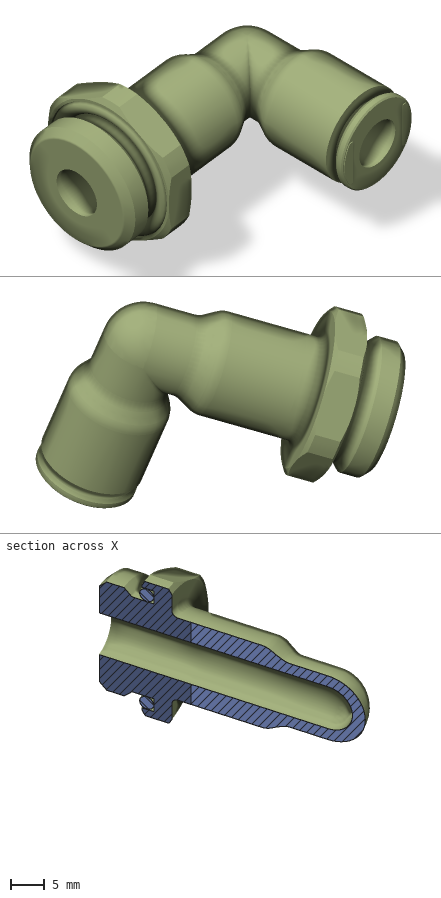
import cadquery as cq
import math


BEND_RADIUS = 6.2
SLEEVE_RADIUS = 8.0
BORE_RADIUS = 4.0
LEG_LENGTH = 22.7
CONE_ANGLE = math.radians(29)
CONE_BLEND_RADIUS = 3.2

RING_NECK_RADIUS = 5.8
RING_NECK_BLEND = 0.28
RING_FLANGE_START = 24.05
RING_FLANGE_END = 25.75
RING_FLANGE_RADIUS = 7.85
RING_BEVEL_LENGTH = 0.65
RING_BEVEL_DEPTH = 0.35
RING_BEVEL_EDGE = 0.15
RING_FRONT_CHAMFER = 0.25
PAD_HEIGHT = 0.15
PAD_WIDTH = 8.0
PAD_INNER_DISTANCE = 5.6
PAD_OUTER_RADIUS = 7.45

HEX_START = 25.8
HEX_END = 30.85
HEX_ACROSS_FLATS = 24.03
HEX_TURNED_DIAMETER = 26.0
HEX_CORNER_RADIUS = HEX_TURNED_DIAMETER / 2
HEX_FACE_RADIUS = 12.05
HEX_CHAMFER_LENGTH = 0.55
HEX_NECK_FILLET = 1.0
UNDERCUT_RADIUS = 9.2
THREAD_RADIUS = 10.5
THREAD_START = 33.75
THREAD_END = 36.65
STUD_END = 37.85
THREAD_EDGE_ROUND = 0.4

O_RING_WIRE_RADIUS = 1.2
O_RING_PROTRUSION = 0.35
O_RING_CENTRE_RADIUS = UNDERCUT_RADIUS + O_RING_WIRE_RADIUS
O_RING_CENTRE = HEX_END + O_RING_PROTRUSION - O_RING_WIRE_RADIUS
GROOVE_BOTTOM = O_RING_CENTRE - O_RING_WIRE_RADIUS
GROOVE_OUTER_RADIUS = O_RING_CENTRE_RADIUS + O_RING_WIRE_RADIUS

BEVEL_ANGLE = math.radians(45)


def revolve_about_x(profile):
    """Revolve a closed (distance along X, radius) profile about the X axis."""
    return profile.close().revolve(360, (0, 0, 0), (1, 0, 0))


def along_stud(body):
    """Turn a body made along +X so that it runs along -Y."""
    return body.rotate((0, 0, 0), (0, 0, 1), -90)


def cylinder_x(start, end, radius):
    return cq.Workplane("YZ", origin=(start, 0, 0)).circle(radius).extrude(end - start)


def arc_point(centre, radius, angle):
    """Point of a circle, with the angle measured from +X towards +radius."""
    return (centre[0] + radius * math.cos(angle), centre[1] + radius * math.sin(angle))


def elbow_leg():
    """One leg: slim tube, rounded cone, wide sleeve."""
    blend_run = CONE_BLEND_RADIUS * math.sin(CONE_ANGLE)
    blend_rise = CONE_BLEND_RADIUS * (1 - math.cos(CONE_ANGLE))
    cone_rise = SLEEVE_RADIUS - BEND_RADIUS - 2 * blend_rise
    cone_run = cone_rise / math.tan(CONE_ANGLE)
    blend_start = BEND_RADIUS
    blend_end = blend_start + 2 * blend_run + cone_run

    inner_centre = (blend_start, BEND_RADIUS + CONE_BLEND_RADIUS)
    outer_centre = (blend_end, SLEEVE_RADIUS - CONE_BLEND_RADIUS)
    down = -math.pi / 2
    up = math.pi / 2
    profile = (
        cq.Workplane("XY")
        .lineTo(0, BEND_RADIUS)
        .lineTo(blend_start, BEND_RADIUS)
        .threePointArc(
            arc_point(inner_centre, CONE_BLEND_RADIUS, down + CONE_ANGLE / 2),
            arc_point(inner_centre, CONE_BLEND_RADIUS, down + CONE_ANGLE),
        )
        .lineTo(*arc_point(outer_centre, CONE_BLEND_RADIUS, up + CONE_ANGLE))
        .threePointArc(
            arc_point(outer_centre, CONE_BLEND_RADIUS, up + CONE_ANGLE / 2),
            (blend_end, SLEEVE_RADIUS),
        )
        .lineTo(LEG_LENGTH, SLEEVE_RADIUS)
        .lineTo(LEG_LENGTH, 0)
    )
    return revolve_about_x(profile)


def make_elbow():
    leg = elbow_leg()
    leg_bore = cylinder_x(0, LEG_LENGTH, BORE_RADIUS)
    outside = cq.Workplane("XY").sphere(BEND_RADIUS).union(leg).union(along_stud(leg))
    passage = cq.Workplane("XY").sphere(BORE_RADIUS).union(leg_bore).union(along_stud(leg_bore))
    return outside.cut(passage)


def make_release_ring():
    """Flanged ring seated on the end of the outlet leg."""
    bevel_radius = RING_FLANGE_RADIUS - RING_BEVEL_DEPTH
    neck_blend_centre = (RING_FLANGE_START - RING_NECK_BLEND, RING_NECK_RADIUS + RING_NECK_BLEND)
    profile = (
        cq.Workplane("XY")
        .moveTo(LEG_LENGTH, BORE_RADIUS)
        .lineTo(LEG_LENGTH, RING_NECK_RADIUS)
        .lineTo(neck_blend_centre[0], RING_NECK_RADIUS)
        .threePointArc(
            arc_point(neck_blend_centre, RING_NECK_BLEND, -BEVEL_ANGLE),
            (RING_FLANGE_START, neck_blend_centre[1]),
        )
        .lineTo(RING_FLANGE_START, bevel_radius - RING_BEVEL_EDGE)
        .lineTo(RING_FLANGE_START + RING_BEVEL_EDGE, bevel_radius)
        .lineTo(RING_FLANGE_START + RING_BEVEL_LENGTH, RING_FLANGE_RADIUS)
        .lineTo(RING_FLANGE_END - RING_FRONT_CHAMFER, RING_FLANGE_RADIUS)
        .lineTo(RING_FLANGE_END, RING_FLANGE_RADIUS - RING_FRONT_CHAMFER)
        .lineTo(RING_FLANGE_END, BORE_RADIUS)
    )
    ring = revolve_about_x(profile)

    pad_disc = cylinder_x(RING_FLANGE_END, RING_FLANGE_END + PAD_HEIGHT, PAD_OUTER_RADIUS)
    pad_depth = PAD_OUTER_RADIUS - PAD_INNER_DISTANCE
    for side in (1, -1):
        pad_block = (
            cq.Workplane("YZ", origin=(RING_FLANGE_END, 0, 0))
            .center(side * (PAD_INNER_DISTANCE + pad_depth / 2), 0)
            .rect(pad_depth, PAD_WIDTH)
            .extrude(PAD_HEIGHT)
        )
        ring = ring.union(pad_disc.intersect(pad_block))
    return ring


def stud_neck():
    """Round neck that meets the elbow, flared into the hexagon."""
    flare_centre = (HEX_START - HEX_NECK_FILLET, SLEEVE_RADIUS + HEX_NECK_FILLET)
    profile = (
        cq.Workplane("XY")
        .moveTo(LEG_LENGTH, 0)
        .lineTo(LEG_LENGTH, SLEEVE_RADIUS)
        .lineTo(flare_centre[0], SLEEVE_RADIUS)
        .threePointArc(
            arc_point(flare_centre, HEX_NECK_FILLET, -BEVEL_ANGLE),
            (HEX_START, flare_centre[1]),
        )
        .lineTo(HEX_START, 0)
    )
    return revolve_about_x(profile)


def stud_hexagon():
    """Hexagon with flats facing +-X once in place, chamfered, with the O-ring groove."""
    prism = (
        cq.Workplane("YZ", origin=(HEX_START, 0, 0))
        .polygon(6, HEX_ACROSS_FLATS, circumscribed=True)
        .extrude(HEX_END - HEX_START)
    )
    turned_blank = revolve_about_x(
        cq.Workplane("XY")
        .moveTo(HEX_START, 0)
        .lineTo(HEX_START, HEX_FACE_RADIUS)
        .lineTo(HEX_START + HEX_CHAMFER_LENGTH, HEX_CORNER_RADIUS)
        .lineTo(HEX_END - HEX_CHAMFER_LENGTH, HEX_CORNER_RADIUS)
        .lineTo(HEX_END, HEX_FACE_RADIUS)
        .lineTo(HEX_END, 0)
    )
    groove = cylinder_x(GROOVE_BOTTOM, HEX_END, GROOVE_OUTER_RADIUS).cut(
        cylinder_x(GROOVE_BOTTOM, HEX_END, UNDERCUT_RADIUS)
    )
    return prism.intersect(turned_blank).cut(groove)


def stud_thread():
    """Undercut and plain thread envelope with a 45 degree bevel at each end."""
    round_run = THREAD_EDGE_ROUND * math.sin(BEVEL_ANGLE)
    round_rise = THREAD_EDGE_ROUND - round_run
    start_bevel_radius = UNDERCUT_RADIUS + round_rise
    start_bevel = THREAD_START - (THREAD_RADIUS - start_bevel_radius)
    start_round_centre = (start_bevel - round_run, UNDERCUT_RADIUS + THREAD_EDGE_ROUND)

    end_bevel = STUD_END - round_rise
    end_bevel_radius = THREAD_RADIUS - (end_bevel - THREAD_END)
    end_round_centre = (STUD_END - THREAD_EDGE_ROUND, end_bevel_radius - round_run)
    profile = (
        cq.Workplane("XY")
        .moveTo(HEX_END, 0)
        .lineTo(HEX_END, UNDERCUT_RADIUS)
        .lineTo(start_round_centre[0], UNDERCUT_RADIUS)
        .threePointArc(
            arc_point(start_round_centre, THREAD_EDGE_ROUND, -1.5 * BEVEL_ANGLE),
            (start_bevel, start_bevel_radius),
        )
        .lineTo(THREAD_START, THREAD_RADIUS)
        .lineTo(THREAD_END, THREAD_RADIUS)
        .lineTo(end_bevel, end_bevel_radius)
        .threePointArc(
            arc_point(end_round_centre, THREAD_EDGE_ROUND, BEVEL_ANGLE / 2),
            (STUD_END, end_round_centre[1]),
        )
        .lineTo(STUD_END, 0)
    )
    return revolve_about_x(profile)


def make_stud():
    bore = cylinder_x(LEG_LENGTH, STUD_END, BORE_RADIUS)
    stud = stud_neck().union(stud_hexagon()).union(stud_thread()).cut(bore)
    return along_stud(stud)


def make_o_ring():
    ring = (
        cq.Workplane("XY")
        .moveTo(O_RING_CENTRE, O_RING_CENTRE_RADIUS)
        .circle(O_RING_WIRE_RADIUS)
        .revolve(360, (0, 0, 0), (1, 0, 0))
    )
    return along_stud(ring)


elbow = make_elbow()
release_ring = make_release_ring()
stud = make_stud()
o_ring = make_o_ring()

result = cq.Compound.makeCompound([elbow.val(), release_ring.val(), stud.val(), o_ring.val()])